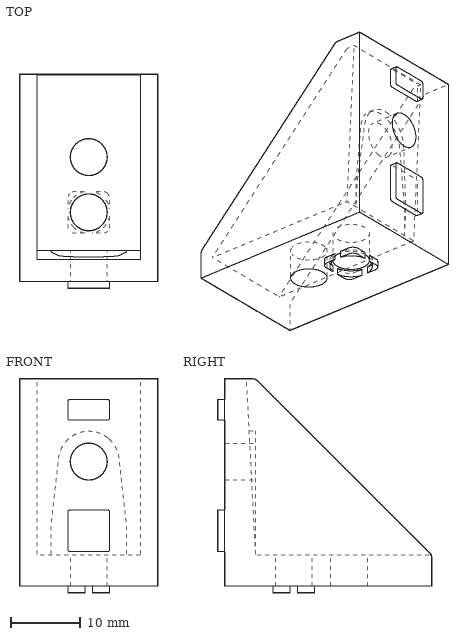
import cadquery as cq
import math

width = 20.0
tab_height = 1.0
leg = 31 - tab_height
leg_end = 4.5
edge_radius = 1.0

channel_width = 15.0
base_thickness = leg_end
wall_draft = math.radians(3)
wall_top_thickness = base_thickness - (leg - base_thickness) * math.tan(wall_draft)

hole_diameter = 5.3
screw_position = 18.0
locating_hole_position = 10.0

pad_radius = 4.4
pad_half_width = 5.45
pad_shoulder_height = 8.8

tab_width = 6.05
slim_tab_height = 3.0
upper_tab_position = 25.5
lower_tab_position = 8.0
tab_corner_radius = 0.3
base_tab_corner_radius = 1.0
base_tab_relief_diameter = 6.15


def side_profile(points, thickness):
    """Extrude a (Y, Z) outline symmetrically about X = 0."""
    return cq.Workplane("YZ").polyline(points).close().extrude(thickness / 2, both=True)


def make_body():
    """Triangular bracket with its two sloped-edge corners rounded."""
    outline = [(0, 0), (leg, 0), (leg, leg_end), (leg_end, leg), (0, leg)]
    body = side_profile(outline, width)
    slope_ends = body.faces(">Z or >Y").edges("|X")
    slope_ends = slope_ends.filter(lambda edge: min(edge.Center().y, edge.Center().z) > leg_end / 2)
    return body.newObject(slope_ends.vals()).fillet(edge_radius)


def make_channel():
    """Space between the cheeks, with a drafted wall and a flat floor."""
    outline = [
        (base_thickness, base_thickness),
        (leg, base_thickness),
        (leg, leg),
        (wall_top_thickness, leg),
    ]
    return side_profile(outline, channel_width)


def make_pad():
    """Arched pad with flared sides that levels the drafted wall around its hole."""
    rise = screw_position - pad_shoulder_height
    shoulder_distance = math.hypot(pad_half_width, rise)
    tangent_angle = math.acos(pad_radius / shoulder_distance) - math.atan2(rise, pad_half_width)
    tangent_x = pad_radius * math.cos(tangent_angle)
    tangent_z = screw_position + pad_radius * math.sin(tangent_angle)
    return (
        cq.Workplane("XZ")
        .moveTo(-pad_half_width, 0)
        .lineTo(pad_half_width, 0)
        .lineTo(pad_half_width, pad_shoulder_height)
        .lineTo(tangent_x, tangent_z)
        .threePointArc((0, screw_position + pad_radius), (-tangent_x, tangent_z))
        .lineTo(-pad_half_width, pad_shoulder_height)
        .close()
        .extrude(-base_thickness)
    )


def make_face_tab(position, height):
    """Rounded rectangular tab on the mounting face."""
    return (
        cq.Workplane("XZ")
        .center(0, position)
        .rect(tab_width, height)
        .extrude(tab_height)
        .edges("|Y")
        .fillet(tab_corner_radius)
    )


def make_base_tab():
    """Square tab split into four corner pieces by a round relief."""
    tab = (
        cq.Workplane("XY")
        .center(0, locating_hole_position)
        .rect(tab_width, tab_width)
        .extrude(-tab_height)
        .edges("|Z")
        .fillet(base_tab_corner_radius)
    )
    relief = (
        cq.Workplane("XY")
        .center(0, locating_hole_position)
        .circle(base_tab_relief_diameter / 2)
        .extrude(-tab_height)
    )
    return tab.cut(relief)


result = make_body().cut(make_channel()).union(make_pad())
result = result.union(make_face_tab(upper_tab_position, slim_tab_height))
result = result.union(make_face_tab(lower_tab_position, tab_width))
result = result.union(make_base_tab())

base_holes = (
    cq.Workplane("XY")
    .pushPoints([(0, locating_hole_position), (0, screw_position)])
    .circle(hole_diameter / 2)
    .extrude(base_thickness)
)
wall_hole = (
    cq.Workplane("XZ")
    .center(0, screw_position)
    .circle(hole_diameter / 2)
    .extrude(-base_thickness)
)
result = result.cut(base_holes).cut(wall_hole)